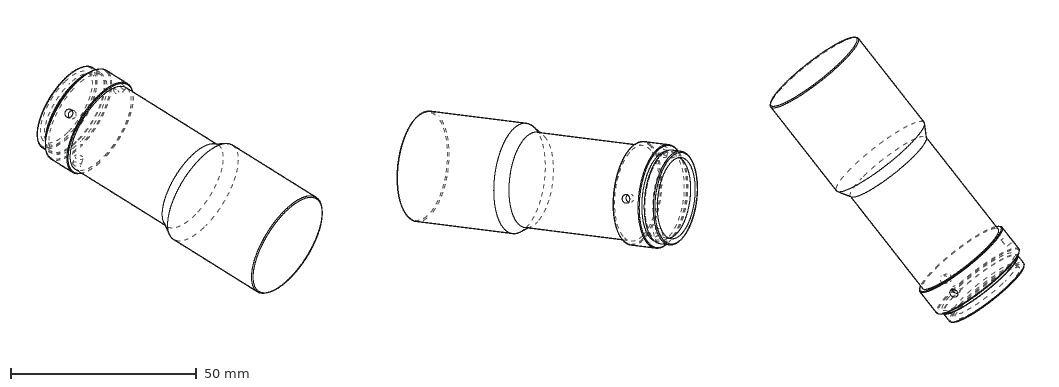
import cadquery as cq
import math

length = 77.1
flange_diameter = 25.45
flange_end = 3.1
neck_diameter = 24.7
ring_diameter = 28.15
ring_start = 4.0
ring_end = 11.95
ring_chamfer = 0.2
tube_diameter = 25.9
cone_start = 44.0
cone_half_angle = 30.0
barrel_diameter = 30.0
edge_chamfer = 0.3

lens_diameter = 22.05
lens_rim_depth = 1.4
lens_pole_depth = 1.0

hole_count = 3
hole_diameter = 2.3
hole_depth = 2.3
first_hole_angle = 52.0

cone_end = cone_start + (barrel_diameter - tube_diameter) / 2 / math.tan(math.radians(cone_half_angle))


def cylinder(diameter, start, end):
    return cq.Workplane("YZ", origin=(start, 0, 0)).circle(diameter / 2).extrude(end - start)


def make_body():
    flange = cylinder(flange_diameter, 0, flange_end).faces("<X").chamfer(edge_chamfer)
    neck = cylinder(neck_diameter, flange_end, ring_start)
    ring = cylinder(ring_diameter, ring_start, ring_end).edges().chamfer(ring_chamfer)
    tube = cylinder(tube_diameter, ring_end, cone_start)
    cone = (
        cq.Workplane("YZ", origin=(cone_start, 0, 0))
        .circle(tube_diameter / 2)
        .workplane(offset=cone_end - cone_start)
        .circle(barrel_diameter / 2)
        .loft(ruled=True)
    )
    barrel = cylinder(barrel_diameter, cone_end, length).faces(">X").chamfer(edge_chamfer)
    return flange.union(neck).union(ring).union(tube).union(cone).union(barrel)


def make_lens_recess():
    """Space in front of the lens, bounded by its spherical face."""
    lens_radius = lens_diameter / 2
    sag = lens_rim_depth - lens_pole_depth
    sphere_radius = (lens_radius**2 + sag**2) / (2 * sag)
    sphere = cq.Workplane("XY").sphere(sphere_radius).translate((lens_pole_depth + sphere_radius, 0, 0))
    return cylinder(lens_diameter, 0, lens_rim_depth).cut(sphere)


def make_screw_hole(angle):
    outward = cq.Vector(0, -math.cos(math.radians(angle)), math.sin(math.radians(angle)))
    center = cq.Vector((ring_start + ring_end) / 2, 0, 0)
    start = center + outward * (ring_diameter / 2 - hole_depth)
    return cq.Solid.makeCylinder(hole_diameter / 2, 2 * hole_depth, start, outward)


result = make_body().cut(make_lens_recess())
for index in range(hole_count):
    result = result.cut(cq.Workplane(make_screw_hole(first_hole_angle + index * 360 / hole_count)))